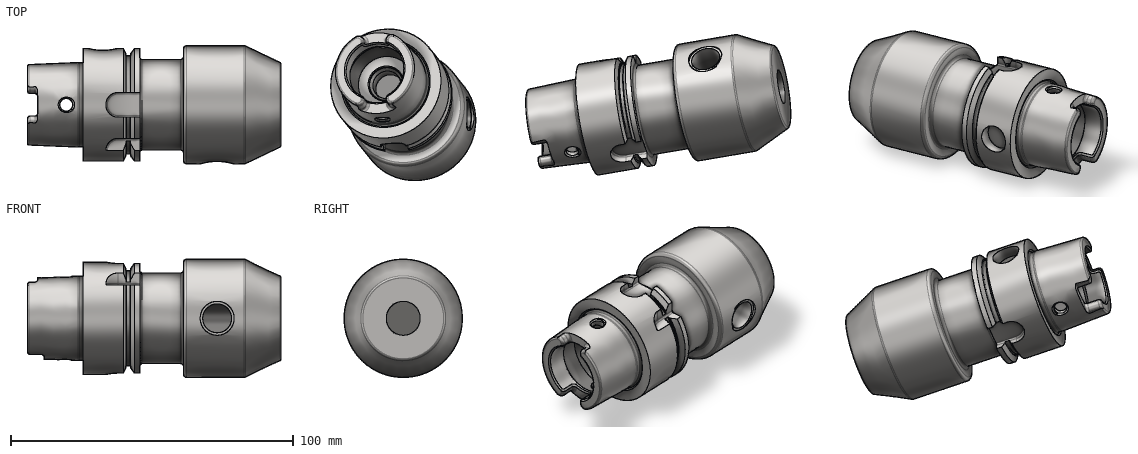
import cadquery as cq
import math

length = 89.9

shank_tip_radius = 14.3
shank_base_radius = 15.0
shank_tip_fillet = 0.6
taper_end = 17.9
relief_start = 18.4
relief_radius = 14.9

flange_start = 19.8
flange_end = 39.8
flange_radius = 20.0
face_recess_radius = 16.1
face_recess_depth = 0.5
face_recess_fillet = 0.6
groove_start = 34.0
groove_wall_radius = 18.2
groove_radius = 17.4
groove_fillet = 0.3
groove_floor_start = 34.9
groove_floor_end = 36.6
groove_end = 37.9

neck_radius = 16.1
neck_front_fillet = 0.8
neck_rear_fillet = 1.1
head_start = 55.3
head_radius = 20.99
head_rear_fillet = 1.2
cone_start = 77.0
cone_blend_radius = 1.35
nose_radius = 14.8
nose_fillet = 0.8

shank_bore_radius = 10.4
mouth_chamfer = 0.5
straight_bore_end = 7.3
undercut_radius = 12.6
undercut_end = 15.1
undercut_entry_angle = math.radians(60)
undercut_exit_angle = math.radians(30)
shank_floor_radius = 9.9
seat_mouth_radius = 6.4
seat_radius = 6.0
seat_end_depth = 0.9
thread_radius = 5.0
thread_depth = 7.2

tool_bore_radius = 6.0
tool_bore_depth = 44.95
screw_x = 67.25
screw_radius = 5.1
screw_sink_radius = 6.0
screw_sink_depth = 0.9

drive_half_width = 4.0
drive_corner_radius = 2.1
drive_shelf_height = 12.9
drive_floor_fillet = 1.0
drive_entry_fillet = 1.0
top_drive_depth = 3.6
bottom_drive_depth = 5.9

cross_hole_x = 13.75
cross_hole_radius = 2.25
cross_hole_sink_radius = 3.0
cross_hole_sink_height = 14.8

slot_start = 27.8
slot_radius = 4.4
slot_floor_fillet = 0.5
key_slot_floor = 16.6
notch_floor = 11.8
notch_wall = 11.9

pocket_x = 26.7
pocket_radius = 4.9
pocket_depth = 4.5


def revolve_about_x(profile):
    return profile.close().revolve(360, (0, 0, 0), (1, 0, 0))


def turn(shape, angle):
    return shape.rotate((0, 0, 0), (1, 0, 0), angle)


def make_body():
    recess_floor = flange_start + face_recess_depth
    profile = (
        cq.Workplane("XY")
        .lineTo(0, shank_tip_radius - shank_tip_fillet)
        .radiusArc((shank_tip_fillet, shank_tip_radius), shank_tip_fillet)
        .lineTo(taper_end, shank_base_radius)
        .lineTo(relief_start, relief_radius)
        .lineTo(recess_floor - face_recess_fillet, relief_radius)
        .radiusArc((recess_floor, relief_radius + face_recess_fillet), -face_recess_fillet)
        .lineTo(flange_start, face_recess_radius)
        .lineTo(flange_start, flange_radius)
        .lineTo(groove_start, flange_radius)
        .lineTo(groove_floor_start, groove_wall_radius)
        .lineTo(groove_floor_start, groove_radius + groove_fillet)
        .radiusArc((groove_floor_start + groove_fillet, groove_radius), -groove_fillet)
        .lineTo(groove_floor_end - groove_fillet, groove_radius)
        .radiusArc((groove_floor_end, groove_radius + groove_fillet), -groove_fillet)
        .lineTo(groove_floor_end, groove_wall_radius)
        .lineTo(groove_end, flange_radius)
        .lineTo(flange_end, flange_radius)
        .lineTo(flange_end, neck_radius + neck_front_fillet)
        .radiusArc((flange_end + neck_front_fillet, neck_radius), -neck_front_fillet)
        .lineTo(head_start - neck_rear_fillet, neck_radius)
        .radiusArc((head_start, neck_radius + neck_rear_fillet), -neck_rear_fillet)
        .lineTo(head_start, head_radius - head_rear_fillet)
        .radiusArc((head_start + head_rear_fillet, head_radius), head_rear_fillet)
        .lineTo(cone_start, head_radius)
        .lineTo(length, nose_radius)
        .lineTo(length, 0)
    )
    body = revolve_about_x(profile).faces(">X").edges().fillet(nose_fillet)
    cone_edge = cq.selectors.RadiusNthSelector(-1)
    return body.faces("%CONE").faces(">X").edges(cone_edge).fillet(cone_blend_radius)


def make_shank_bore():
    """Straight bore, undercut behind it, then a stepped hole in the floor."""
    undercut_start = straight_bore_end + (undercut_radius - shank_bore_radius) / math.tan(undercut_entry_angle)
    shank_floor = undercut_end + (undercut_radius - shank_floor_radius) / math.tan(undercut_exit_angle)
    seat_start = shank_floor + seat_mouth_radius - seat_radius
    seat_end = shank_floor + seat_end_depth
    thread_start = seat_end + seat_radius - thread_radius
    thread_end = shank_floor + thread_depth
    profile = (
        cq.Workplane("XY")
        .lineTo(0, shank_bore_radius)
        .lineTo(straight_bore_end, shank_bore_radius)
        .lineTo(undercut_start, undercut_radius)
        .lineTo(undercut_end, undercut_radius)
        .lineTo(shank_floor, shank_floor_radius)
        .lineTo(shank_floor, seat_mouth_radius)
        .lineTo(seat_start, seat_radius)
        .lineTo(seat_end, seat_radius)
        .lineTo(thread_start, thread_radius)
        .lineTo(thread_end, thread_radius)
        .lineTo(thread_end, 0)
    )
    return revolve_about_x(profile)


def make_tool_bore():
    return cq.Workplane("YZ", origin=(length, 0, 0)).circle(tool_bore_radius).extrude(-tool_bore_depth)


def make_screw_hole():
    """Radial hole from the -Y side into the tool bore, with a shallow flat-bottomed counterbore."""
    sink_reach = head_radius - screw_sink_depth
    profile = (
        cq.Workplane("XY", origin=(screw_x, 0, 0))
        .lineTo(screw_radius, 0)
        .lineTo(screw_radius, -sink_reach)
        .lineTo(screw_sink_radius, -sink_reach)
        .lineTo(screw_sink_radius, -head_radius)
        .lineTo(0, -head_radius)
        .close()
    )
    return profile.revolve(360, (0, 0, 0), (0, 1, 0))


def make_drive_slot(depth):
    """Slot over the +Z wall of the shank: straight walls that round outward onto a wide shelf.

    The metal left beside the slot is shaped first, so that its edges on the tip face can be rounded.
    """
    outer = flange_radius
    arc_start = drive_shelf_height - drive_corner_radius
    shelf_start = drive_half_width + drive_corner_radius
    land = (
        cq.Workplane("YZ")
        .moveTo(drive_half_width, 0)
        .lineTo(drive_half_width, arc_start)
        .radiusArc((shelf_start, drive_shelf_height), drive_corner_radius)
        .lineTo(outer, drive_shelf_height)
        .lineTo(outer, 0)
        .close()
        .extrude(depth)
    )
    slot_edges = cq.selectors.BoxSelector((-0.9, 0, 0.9), (0.1, outer - 0.1, outer))
    land = land.edges(slot_edges).fillet(drive_entry_fillet)
    block = cq.Workplane("YZ").rect(2 * outer, outer).extrude(depth).translate((0, 0, outer / 2))
    slot = block.cut(land).cut(land.mirror("XZ"))
    return slot.faces(">X").edges("not <Z").fillet(drive_floor_fillet)


def on_bore_rim(edge):
    """True for the edges where the straight bore meets the tip face and the drive slots."""
    points = edge.positions([0, 0.5, 1])
    on_bore = all(abs(math.hypot(p.y, p.z) - shank_bore_radius) < 0.01 for p in points)
    return on_bore and edge.Center().x < straight_bore_end - 0.1


def chamfer_bore_rim(body):
    rim = [edge for edge in body.edges().vals() if on_bore_rim(edge)]
    return body.newObject(rim).chamfer(mouth_chamfer)


def make_cross_hole():
    """Hole through both shank walls, with a conical countersink at each outer end."""
    sink_depth = cross_hole_sink_radius - cross_hole_radius
    hole = cq.Workplane("XY", origin=(cross_hole_x, 0, 0)).circle(cross_hole_radius)
    hole = hole.extrude(flange_radius, both=True)
    sink = (
        cq.Workplane("XY", origin=(cross_hole_x, 0, cross_hole_sink_height - sink_depth))
        .circle(cross_hole_radius)
        .workplane(offset=sink_depth)
        .circle(cross_hole_sink_radius)
        .loft()
    )
    return hole.union(sink).union(turn(sink, 180))


def make_flange_slot(center_y, floor):
    """Round-ended slot, open towards +X and +Z, stopping at the neck side of the flange."""
    arc_center = slot_start + slot_radius
    outline = (
        cq.Workplane("XY", origin=(0, center_y, floor))
        .moveTo(flange_end, -slot_radius)
        .lineTo(arc_center, -slot_radius)
        .threePointArc((slot_start, 0), (arc_center, slot_radius))
        .lineTo(flange_end, slot_radius)
        .close()
    )
    return outline.extrude(flange_radius).faces("<Z").edges("not >X").fillet(slot_floor_fillet)


def make_pocket():
    pocket = cq.Workplane("XZ", origin=(pocket_x, flange_radius, 0)).circle(pocket_radius)
    return pocket.extrude(pocket_depth)


result = make_body().cut(make_shank_bore()).cut(make_tool_bore()).cut(make_screw_hole())
result = result.cut(make_drive_slot(top_drive_depth)).cut(turn(make_drive_slot(bottom_drive_depth), 180))
result = chamfer_bore_rim(result).cut(make_cross_hole())
key_slot = make_flange_slot(0, key_slot_floor)
result = result.cut(key_slot).cut(turn(key_slot, 180))
result = result.cut(make_flange_slot(-notch_wall - slot_radius, notch_floor))
result = result.cut(make_pocket())